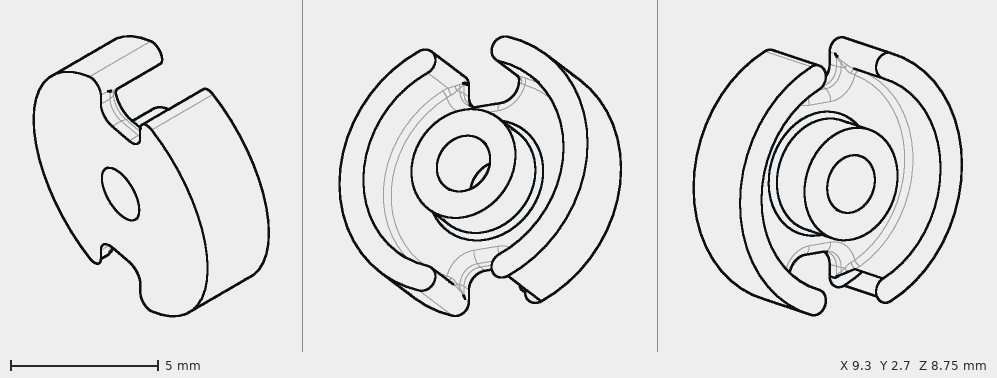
import math

import cadquery as cq


outer_radius = 9.3 / 2
core_height = 2.7
bore_radius = 1.0
post_radius = 3.9 / 2
web_thickness = 0.9
groove_fillet = 0.2

slot_half_width = 1.05
slot_floor = 2.9
slot_corner_radius = 0.6

flare_start = 0.4
flare_angle = math.radians(15)
flare_height = web_thickness - flare_start
flare_width = flare_height * math.tan(flare_angle)
mouth_radius = 0.4

ear_radius = 0.45
groove_radius = outer_radius - 2 * ear_radius
wall_middle_radius = outer_radius - ear_radius
ear_x = slot_half_width + ear_radius
ear_z = math.sqrt(wall_middle_radius**2 - ear_x**2)

SIDES = (1, -1)
TOLERANCE = 1e-3


def disc(radius, thickness):
    """Disc about the Y axis, from y = 0 towards +Y."""
    return cq.Workplane("XZ").circle(radius).extrude(-thickness)


def slot_cutter(side):
    """Slot through the web, open outwards, with rounded floor corners."""
    slot_depth = outer_radius - slot_floor
    return (
        cq.Workplane("XZ")
        .center(0, side * (slot_floor + slot_depth))
        .rect(2 * slot_half_width, 2 * slot_depth)
        .extrude(-web_thickness)
        .edges("|Y")
        .edges("<Z" if side > 0 else ">Z")
        .fillet(slot_corner_radius)
    )


def between_ears(side):
    """Block outside the slot that reaches from one ear center to the other."""
    return (
        cq.Workplane("XZ")
        .center(0, side * (ear_z + ear_radius))
        .rect(2 * ear_x, 2 * ear_radius)
        .extrude(-web_thickness)
    )


def wall_gap(side):
    """Wedge from the axis through both ear centers of a slot and out past the wall."""
    far_x = 2 * ear_x
    far_z = side * 2 * ear_z
    return (
        cq.Workplane("XZ")
        .polyline([(0, 0), (far_x, far_z), (-far_x, far_z)])
        .close()
        .extrude(-core_height)
    )


def is_arc(edge, radius):
    return edge.geomType() == "CIRCLE" and abs(edge.radius() - radius) < TOLERANCE


def mouth_edges(web):
    """Edges where the slots open into the groove side of the web."""
    inner_edges = web.faces(">Y").edges().vals()
    return [edge for edge in inner_edges if not is_arc(edge, wall_middle_radius)]


def make_web():
    """Closed end up to the middle of the wall, with both slots flared and rounded."""
    web = disc(wall_middle_radius, web_thickness)
    for side in SIDES:
        web = web.cut(slot_cutter(side))
    web = cq.Workplane(web.val().chamfer(flare_width, flare_height, mouth_edges(web)))
    web = cq.Workplane(web.val().fillet(mouth_radius, mouth_edges(web)))
    for side in SIDES:
        web = web.cut(between_ears(side))
    return web


def make_wall():
    """Two opposite arcs of outer wall, each ending in an ear at both slots."""
    wall = disc(outer_radius, core_height).cut(disc(groove_radius, core_height))
    for side in SIDES:
        wall = wall.cut(wall_gap(side))
    ears = (
        cq.Workplane("XZ")
        .rect(2 * ear_x, 2 * ear_z, forConstruction=True)
        .vertices()
        .circle(ear_radius)
        .extrude(-core_height)
    )
    return wall.union(ears)


def fillet_groove_wall(shell):
    """Fillet the two arcs where the groove floor meets the outer wall."""
    corner_edges = [
        edge
        for edge in shell.edges().vals()
        if is_arc(edge, groove_radius) and abs(edge.Center().y - web_thickness) < TOLERANCE
    ]
    return shell.newObject(corner_edges).fillet(groove_fillet)


def make_post():
    """Center post with a fillet at the groove floor."""
    foot_radius = post_radius + groove_fillet
    return (
        cq.Workplane("YZ")
        .lineTo(0, foot_radius)
        .lineTo(web_thickness, foot_radius)
        .radiusArc((web_thickness + groove_fillet, post_radius), groove_fillet)
        .lineTo(core_height, post_radius)
        .lineTo(core_height, 0)
        .close()
        .revolve(360, (0, 0, 0), (1, 0, 0))
    )


shell = fillet_groove_wall(make_web().union(make_wall()))
result = shell.union(make_post()).cut(disc(bore_radius, core_height)).solids()